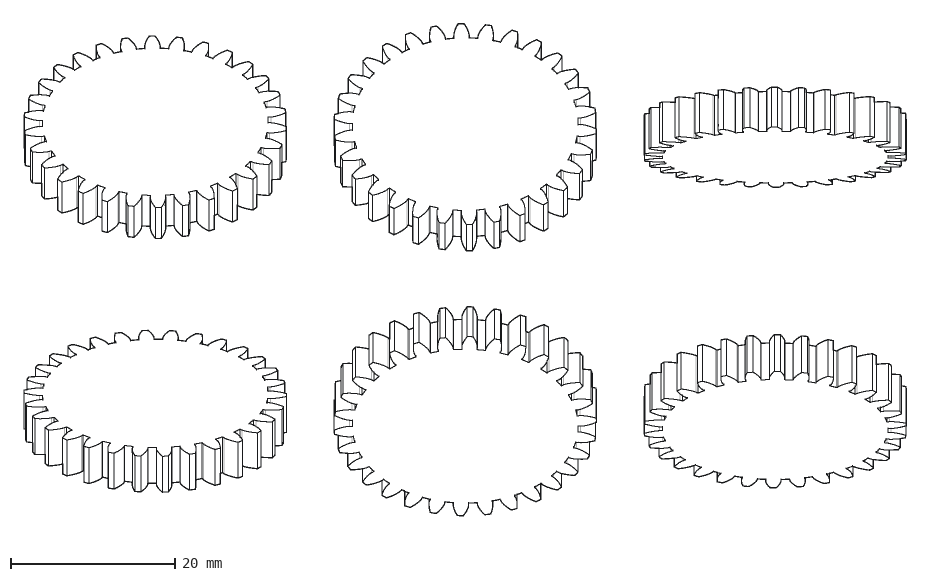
import cadquery as cq
import math

outer_diameter = 32.0
face_width = 5.0
tooth_count = 30
pressure_angle = math.radians(20)
dedendum_factor = 1.25
flank_point_count = 7

module = outer_diameter / (tooth_count + 2)
pitch_radius = module * tooth_count / 2
tip_radius = outer_diameter / 2
root_radius = pitch_radius - dedendum_factor * module
base_radius = pitch_radius * math.cos(pressure_angle)
tooth_pitch = 2 * math.pi / tooth_count


def involute(angle):
    """Involute function of a pressure angle in radians."""
    return math.tan(angle) - angle


base_half_angle = tooth_pitch / 4 + involute(pressure_angle)


def polar(radius, angle):
    return (radius * math.cos(angle), radius * math.sin(angle))


def tooth_half_angle(radius):
    """Half of the angle a tooth covers at a radius on its involute flank."""
    return base_half_angle - involute(math.acos(base_radius / radius))


flank_step = (tip_radius - base_radius) / (flank_point_count - 1)
flank_radii = [base_radius + i * flank_step for i in range(flank_point_count - 1)] + [tip_radius]


def flank(center_angle, side):
    """Flank points from base to tip; side is -1 or +1 about the tooth center."""
    return [polar(r, center_angle + side * tooth_half_angle(r)) for r in flank_radii]


def add_tooth(outline, center_angle):
    """Draw one tooth and the root arc that leads to the next tooth."""
    rising = flank(center_angle, -1)
    falling = flank(center_angle, 1)[::-1]
    next_angle = center_angle + tooth_pitch
    return (
        outline.lineTo(*rising[0])
        .spline(rising[1:], includeCurrent=True)
        .threePointArc(polar(tip_radius, center_angle), falling[0])
        .spline(falling[1:], includeCurrent=True)
        .lineTo(*polar(root_radius, center_angle + base_half_angle))
        .threePointArc(
            polar(root_radius, center_angle + tooth_pitch / 2),
            polar(root_radius, next_angle - base_half_angle),
        )
    )


outline = cq.Workplane("XY").moveTo(*polar(root_radius, -base_half_angle))
for tooth in range(tooth_count):
    outline = add_tooth(outline, tooth * tooth_pitch)

result = outline.close().extrude(face_width)